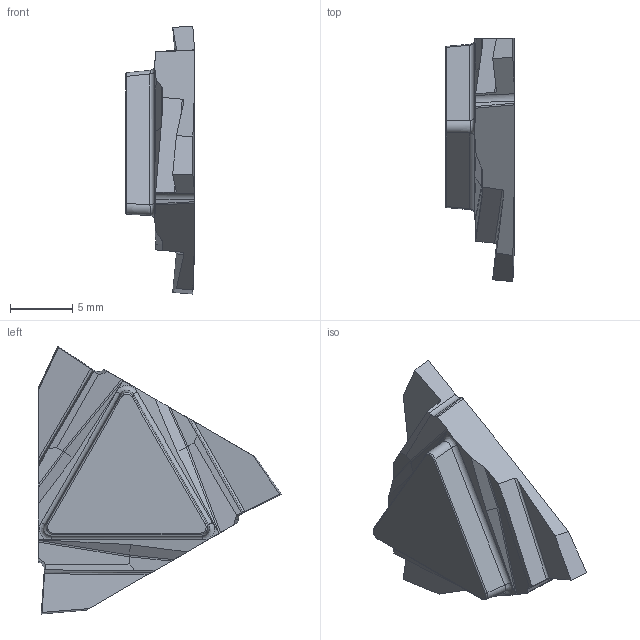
import cadquery as cq
import math

ARM_COUNT = 3
ARM_SPACING = 360 / ARM_COUNT
REACH = 40.0
TOLERANCE = 0.001
DOWN = -90
UPRIGHT = 90

BODY_INRADIUS = 7.1
BODY_HEIGHT = 3.2

TOTAL_HEIGHT = 5.54
BOSS_INRADIUS = 3.98
BOSS_CORNER_RADIUS = 0.58
BOSS_DRAFT = 3.0
BOSS_ROOT_RADIUS = 0.4
BOSS_RIM_RADIUS = 0.1

TIP = (-6.88, -10.4)
TIP_EDGE_HEADING = -85.0
TIP_CLEARANCE = 4.5
SHORT_SIDE_HEADING = 176.0
SHORT_SIDE_CLEARANCE = 1.8
NOTCH_START = (-BODY_INRADIUS, -6.2)
NOTCH_HEADING = -126.0
NOTCH_CLEARANCE = 4.5
NOTCH_RADIUS = 0.6
NOTCH_CORNER_RADIUS = 0.15

BACK_RELIEF_LENGTH = 3.25
BACK_RELIEF_ANGLE = 2.3

FLOOR_TIP_HEIGHT = 1.77
FLOOR_HEADING = 51.6
FLOOR_SLOPE = 6.7
STEP_V = -6.89
STEP_DRAFT = 5.0
STEP_ROOT_RADIUS = 0.17

SHOULDER_HEIGHT = 2.6
SHOULDER_BREAK_U = 0.22
SHOULDER_RISE = 4.2
RIDGE_V = -6.37
RIDGE_HEADING = 39.5
RIDGE_SLOPE = 5.4

HINGE_V = -4.44
FAN_SLOPE = 7.0
WALL_FOOT_V = -5.72
WALL_SLOPE = 31.4
LEFT_WALL_HEADING = -92.4
RIGHT_WALL_HEADING = -95.8
WALL_ROOT_RADIUS = 0.27


def half_space(point, heading, elevation):
    """Block beyond a plane; its normal has the given heading and elevation in degrees."""
    turn = math.radians(heading)
    lift = math.radians(elevation)
    normal = (math.cos(lift) * math.cos(turn), math.cos(lift) * math.sin(turn), math.sin(lift))
    return cq.Workplane(cq.Plane(point, normal=normal)).rect(2 * REACH, 2 * REACH).extrude(REACH)


def wedge(*blocks):
    """Common part of several half-spaces."""
    common = blocks[0]
    for block in blocks[1:]:
        common = common.intersect(block)
    return common


def triangle(inradius):
    """Equilateral triangle with one side facing -u."""
    return cq.Workplane().polygon(ARM_COUNT, 4 * inradius)


def make_boss():
    """Rounded boss whose bottom side faces -v."""
    rise = TOTAL_HEIGHT - BODY_HEIGHT
    root_inradius = BOSS_INRADIUS + rise * math.tan(math.radians(BOSS_DRAFT))
    boss = triangle(root_inradius).extrude(rise, taper=BOSS_DRAFT)
    boss = boss.edges("not #Z").fillet(BOSS_CORNER_RADIUS)
    boss = boss.faces(">Z").edges().fillet(BOSS_RIM_RADIUS)
    return boss.rotate((0, 0, 0), (0, 0, 1), 90).translate((0, 0, BODY_HEIGHT))


def make_blank():
    """Triangular plate with the boss on it; the boss fillet may run out over the plate's edge."""
    plate = cq.Workplane().circle(REACH).extrude(BODY_HEIGHT)
    root_edges = cq.selectors.BoxSelector(
        (-BODY_INRADIUS * 2, -BODY_INRADIUS * 2, BODY_HEIGHT - BOSS_RIM_RADIUS),
        (BODY_INRADIUS * 2, BODY_INRADIUS * 2, BODY_HEIGHT + BOSS_RIM_RADIUS),
        boundingbox=True,
    )
    stock = plate.union(make_boss()).edges(root_edges).fillet(BOSS_ROOT_RADIUS)
    return stock.intersect(triangle(BODY_INRADIUS).extrude(TOTAL_HEIGHT))


def fillet_near(solid, point, radius):
    """Round the edge whose centre is nearest to the point."""
    return solid.edges(cq.selectors.NearestToPointSelector(point)).fillet(radius)


def tip_cutter():
    return half_space((*TIP, 0), TIP_EDGE_HEADING, TIP_CLEARANCE)


def short_side_cutter():
    """Space outside the short side of the arm, ending in the rounded notch."""
    cutter = wedge(
        half_space((*TIP, 0), SHORT_SIDE_HEADING, SHORT_SIDE_CLEARANCE),
        half_space((*NOTCH_START, 0), NOTCH_HEADING, NOTCH_CLEARANCE),
    )
    return fillet_near(cutter, (*NOTCH_START, 0), NOTCH_RADIUS)


def back_relief_cutter():
    turn = math.radians(TIP_EDGE_HEADING)
    start_u = TIP[0] - BACK_RELIEF_LENGTH * math.cos(turn)
    start_v = TIP[1] - BACK_RELIEF_LENGTH * math.sin(turn)
    return half_space((start_u, start_v, 0), TIP_EDGE_HEADING, BACK_RELIEF_ANGLE - UPRIGHT)


def floor_cutter():
    cutter = wedge(
        half_space((*TIP, FLOOR_TIP_HEIGHT), FLOOR_HEADING, UPRIGHT - FLOOR_SLOPE),
        half_space((0, STEP_V, SHOULDER_HEIGHT), DOWN, STEP_DRAFT),
    )
    return fillet_near(cutter, (0, STEP_V, 0), STEP_ROOT_RADIUS)


def shoulder_cutters():
    """Two cutters, the shallow fan and the steep wall; both stop at the shoulder faces."""
    corner = (SHOULDER_BREAK_U, RIDGE_V, SHOULDER_HEIGHT)
    above_shoulder = wedge(
        half_space(corner, 0, UPRIGHT),
        half_space(corner, 0, UPRIGHT - SHOULDER_RISE),
        half_space(corner, RIDGE_HEADING, UPRIGHT - RIDGE_SLOPE),
        half_space((0, HINGE_V, 0), DOWN, 0),
    )
    foot = (SHOULDER_BREAK_U, WALL_FOOT_V, SHOULDER_HEIGHT)
    fan = half_space((0, HINGE_V, BODY_HEIGHT), DOWN, UPRIGHT - FAN_SLOPE)
    wall = wedge(
        half_space(foot, LEFT_WALL_HEADING, UPRIGHT - WALL_SLOPE),
        half_space(foot, RIGHT_WALL_HEADING, UPRIGHT - WALL_SLOPE),
    )
    wall_cutter = above_shoulder.intersect(wall)
    foot_vertex = cq.Vertex.makeVertex(*foot)
    edges_at_foot = [edge for edge in wall_cutter.edges().vals() if edge.distance(foot_vertex) < TOLERANCE]
    root_edges = sorted(edges_at_foot, key=lambda edge: edge.Length())[-2:]
    wall_cutter = wall_cutter.newObject(root_edges).fillet(WALL_ROOT_RADIUS)
    return [above_shoulder.intersect(fan), wall_cutter]


def round_notch_corners(part):
    """Break the edges where the notches meet the long sides of the body."""
    lean_per_height = math.tan(math.radians(NOTCH_CLEARANCE)) / abs(math.sin(math.radians(NOTCH_HEADING)))
    middle = BODY_HEIGHT / 2
    corner = cq.Vertex.makeVertex(NOTCH_START[0], NOTCH_START[1] + middle * lean_per_height, middle)
    for arm in range(ARM_COUNT):
        place = cq.Location(cq.Vector(), cq.Vector(0, 0, 1), arm * ARM_SPACING)
        part = fillet_near(part, corner.moved(place).toTuple(), NOTCH_CORNER_RADIUS)
    return part


def cut_arms(part):
    cutters = [tip_cutter(), short_side_cutter(), back_relief_cutter(), floor_cutter()]
    cutters += shoulder_cutters()
    for arm in range(ARM_COUNT):
        for cutter in cutters:
            part = part.cut(cutter.rotate((0, 0, 0), (0, 0, 1), arm * ARM_SPACING))
    return part


insert = round_notch_corners(cut_arms(make_blank()))
LOCAL_FRAME = cq.Plane((0, 0, 0), xDir=(0, -1, 0), normal=(-1, 0, 0))
result = cq.Workplane(insert.val().moved(cq.Location(LOCAL_FRAME)))